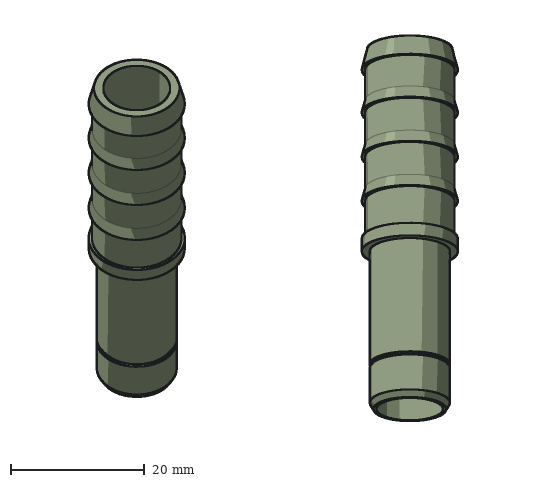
import cadquery as cq
import math

length = 57.0
bore_diameter = 10.0

stem_radius = 12.0 / 2
stem_chamfer_height = 1.0
stem_chamfer_angle = 30.0
groove_center_z = 6.8
groove_width = 0.5
groove_depth = 0.25

collar_bottom_z = 25.0
collar_height = 2.0

tail_radius = 13.4 / 2
barb_radius = 14.4 / 2
barb_taper_angle = 15.0
barb_height = (barb_radius - tail_radius) / math.tan(math.radians(barb_taper_angle))
lowest_barb_z = 33.0
barb_pitch = 7.0
barb_count = 3
nose_height = 3.2
nose_tip_radius = 6.4


def ring(radius, bottom_z, height):
    """Solid cylinder on the Z axis."""
    return cq.Workplane("XY").workplane(offset=bottom_z).circle(radius).extrude(height)


def cone(bottom_radius, top_radius, bottom_z, height):
    """Solid truncated cone on the Z axis."""
    profile = [
        (0, bottom_z),
        (bottom_radius, bottom_z),
        (top_radius, bottom_z + height),
        (0, bottom_z + height),
    ]
    return cq.Workplane("XZ").polyline(profile).close().revolve(360, (0, 0), (0, 1))


def make_stem():
    """Stem with a conical lead-in at its foot and a V-shaped marking groove."""
    foot_radius = stem_radius - stem_chamfer_height * math.tan(math.radians(stem_chamfer_angle))
    foot = cone(foot_radius, stem_radius, 0, stem_chamfer_height)
    shank = ring(stem_radius, stem_chamfer_height, collar_bottom_z - stem_chamfer_height)
    groove = (
        cq.Workplane("XZ")
        .moveTo(stem_radius, groove_center_z - groove_width / 2)
        .lineTo(stem_radius - groove_depth, groove_center_z)
        .lineTo(stem_radius, groove_center_z + groove_width / 2)
        .close()
        .revolve(360, (0, 0), (0, 1))
    )
    return foot.union(shank).cut(groove)


def make_tail():
    """Hose tail with evenly spaced barbs below a longer tapered nose."""
    nose_bottom_z = length - nose_height
    tail = ring(tail_radius, collar_bottom_z, nose_bottom_z - collar_bottom_z)
    tail = tail.union(cone(barb_radius, nose_tip_radius, nose_bottom_z, nose_height))
    for index in range(barb_count):
        barb_bottom_z = lowest_barb_z + index * barb_pitch
        tail = tail.union(cone(barb_radius, tail_radius, barb_bottom_z, barb_height))
    return tail


collar = ring(barb_radius, collar_bottom_z, collar_height)
bore = ring(bore_diameter / 2, 0, length)

result = make_stem().union(collar).union(make_tail()).cut(bore)